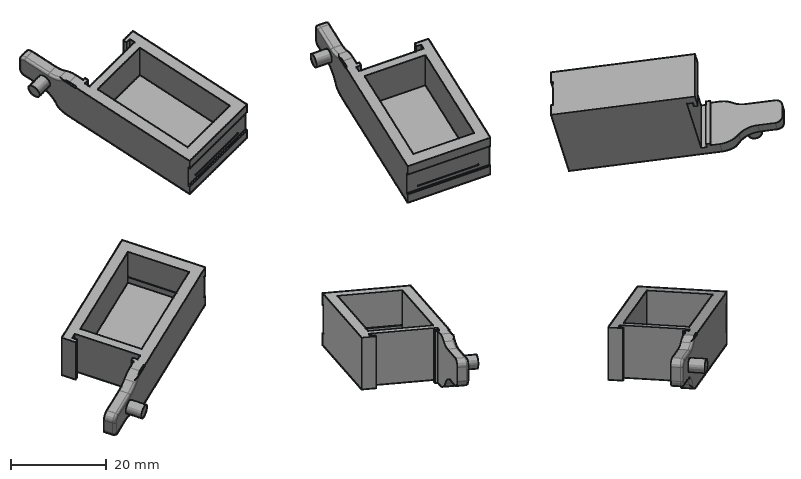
import cadquery as cq
import math

LENGTH = 45.95
DEPTH = 19.1
HEIGHT = 11.45
BLOCK_LEFT = 15.25

POCKET_LEFT_WALL = 3.9
POCKET_RIGHT_WALL = 2.6
POCKET_SIDE_WALL = 2.55
FLOOR_THICKNESS = 2.0

SLIT_Z = 3.7
SLIT_HEIGHT = 0.15

SLOT_DEPTH = 2.1
SLOT_SIDE_WALL = 2.05
LIP_THICKNESS = 0.87
LIP_LENGTH = 3.15

RECESS_DEPTH = 0.4
RECESS_MARGIN = 2.6

ARM_THICKNESS = 2.57
GRIP_BOTTOM = 3.75
GRIP_TOP = 9.9
GRIP_CORNER = 1.5
EDGE_FILLET = 0.6
CURVE_RADIUS = 5.25
CURVE_END_X = 13.35
EDGE_CHAMFER = 0.28
CHAMFER_START_X = 12.3

PIN_DIAMETER = 3.05
PIN_LENGTH = 3.55
PIN_X = 7.0
PIN_Z = (GRIP_BOTTOM + GRIP_TOP) / 2


def curve_half_run(rise):
    """Half the X length of an S-curve of two equal tangent arcs with this rise."""
    return math.sqrt(CURVE_RADIUS * rise - (rise / 2) ** 2)


TOP_RISE = HEIGHT - GRIP_TOP
TOP_CURVE_X = CURVE_END_X - 2 * curve_half_run(TOP_RISE)
BOTTOM_CURVE_X = CURVE_END_X - 2 * curve_half_run(GRIP_BOTTOM)


def box(x0, x1, y0, y1, z0, z1):
    return cq.Workplane("XY").box(x1 - x0, y1 - y0, z1 - z0, centered=False).translate((x0, y0, z0))


def extrude_back(outline):
    """Extrude an XZ outline from the front face through the arm thickness."""
    return outline.close().extrude(-ARM_THICKNESS)


def grip_end(start_x, start_z):
    """Start an outline at the bottom right and run around the rounded grip end."""
    diagonal = GRIP_CORNER * (1 - math.sqrt(0.5))
    return (
        cq.Workplane("XZ")
        .moveTo(start_x, start_z)
        .lineTo(GRIP_CORNER, GRIP_BOTTOM)
        .threePointArc((diagonal, GRIP_BOTTOM + diagonal), (0, GRIP_BOTTOM + GRIP_CORNER))
        .lineTo(0, GRIP_TOP - GRIP_CORNER)
        .threePointArc((diagonal, GRIP_TOP - diagonal), (GRIP_CORNER, GRIP_TOP))
        .lineTo(TOP_CURVE_X, GRIP_TOP)
    )


def arm_plate():
    inner_x = BLOCK_LEFT + SLOT_DEPTH
    top_middle = (TOP_CURVE_X + curve_half_run(TOP_RISE), GRIP_TOP + TOP_RISE / 2)
    bottom_middle = (BOTTOM_CURVE_X + curve_half_run(GRIP_BOTTOM), GRIP_BOTTOM / 2)
    outline = (
        grip_end(BOTTOM_CURVE_X, GRIP_BOTTOM)
        .tangentArcPoint(top_middle, relative=False)
        .tangentArcPoint((CURVE_END_X, HEIGHT), relative=False)
        .lineTo(inner_x, HEIGHT)
        .lineTo(inner_x, 0)
        .lineTo(CURVE_END_X, 0)
        .tangentArcPoint(bottom_middle, relative=False)
        .tangentArcPoint((BOTTOM_CURVE_X, GRIP_BOTTOM), relative=False)
    )
    return extrude_back(outline)


def grip_edge_strip():
    """Material outside the front edge fillet, running out along the extended concave arcs."""
    angle = math.radians(75)

    def arc_offset(turn):
        return CURVE_RADIUS * math.sin(turn), CURVE_RADIUS * (1 - math.cos(turn))

    run, rise = arc_offset(angle)
    half_run, half_rise = arc_offset(angle / 2)
    top_end = (TOP_CURVE_X + run, GRIP_TOP + rise)
    bottom_end = (BOTTOM_CURVE_X + run, GRIP_BOTTOM - rise)
    blank = extrude_back(
        grip_end(BOTTOM_CURVE_X, GRIP_BOTTOM)
        .threePointArc((TOP_CURVE_X + half_run, GRIP_TOP + half_rise), top_end)
        .lineTo(BLOCK_LEFT, top_end[1])
        .lineTo(BLOCK_LEFT, bottom_end[1])
        .lineTo(*bottom_end)
        .threePointArc(
            (BOTTOM_CURVE_X + half_run, GRIP_BOTTOM - half_rise), (BOTTOM_CURVE_X, GRIP_BOTTOM)
        )
    )
    outer_edges = [
        edge
        for edge in blank.faces("<Y").edges().vals()
        if edge.geomType() == "CIRCLE" or edge.Center().x < TOP_CURVE_X
    ]
    rounded = blank.newObject(outer_edges).fillet(EDGE_FILLET)
    return blank.cut(rounded)


def top_edge_chamfer():
    """Small bevel on the top front edge between the S-curve and the block."""
    return (
        cq.Workplane("YZ", origin=(CHAMFER_START_X, 0, 0))
        .moveTo(0, HEIGHT)
        .lineTo(EDGE_CHAMFER, HEIGHT)
        .lineTo(0, HEIGHT - EDGE_CHAMFER)
        .close()
        .extrude(BLOCK_LEFT - CHAMFER_START_X)
    )


def pocket():
    left = BLOCK_LEFT + POCKET_LEFT_WALL
    right = LENGTH - POCKET_RIGHT_WALL
    return box(left, right, POCKET_SIDE_WALL, DEPTH - POCKET_SIDE_WALL, FLOOR_THICKNESS, HEIGHT)


def wall_slit():
    inner_x = LENGTH - POCKET_RIGHT_WALL
    back = DEPTH - POCKET_SIDE_WALL
    return box(inner_x, LENGTH, POCKET_SIDE_WALL, back, SLIT_Z, SLIT_Z + SLIT_HEIGHT)


def end_slot():
    lip_inner = BLOCK_LEFT + LIP_THICKNESS
    slot_end = BLOCK_LEFT + SLOT_DEPTH
    mouth = box(BLOCK_LEFT, slot_end, LIP_LENGTH, DEPTH - LIP_LENGTH, 0, HEIGHT)
    undercut = box(lip_inner, slot_end, SLOT_SIDE_WALL, DEPTH - SLOT_SIDE_WALL, 0, HEIGHT)
    return mouth.union(undercut)


def make_housing():
    block = box(BLOCK_LEFT, LENGTH, 0, DEPTH, 0, HEIGHT)
    recess = box(LENGTH - RECESS_DEPTH, LENGTH, 0, DEPTH, RECESS_MARGIN, HEIGHT - RECESS_MARGIN)
    arm = arm_plate().cut(grip_edge_strip()).cut(top_edge_chamfer())
    return block.union(arm).cut(end_slot()).cut(pocket()).cut(wall_slit()).cut(recess)


def make_pin():
    return (
        cq.Workplane("XZ", origin=(PIN_X, 0, PIN_Z))
        .circle(PIN_DIAMETER / 2)
        .extrude(PIN_LENGTH)
    )


housing = make_housing()
pin = make_pin()
result = cq.Compound.makeCompound([housing.val(), pin.val()])